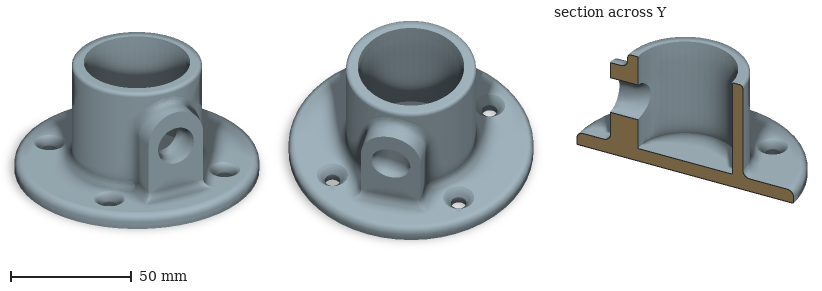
import cadquery as cq
import math

flange_diameter = 101.6
flange_thickness = 6.3
flange_edge_radius = 3.1

total_height = 50.8
socket_diameter = 54.1
bore_diameter = 44.1
rim_radius = 1.6
blend_radius = 3.1
socket_radius = socket_diameter / 2
blend_top = flange_thickness + blend_radius
blend_middle = blend_radius * (1 - math.sqrt(0.5))
surface_tolerance = 0.01

boss_reach = 35.1
boss_radius = 12.7
boss_axis_height = 31.7
cross_hole_diameter = 16.7
cross_hole_height = (flange_thickness + total_height) / 2

mount_spacing = 53.8
mount_hole_diameter = 6.4
countersink_diameter = 12.8
countersink_angle = 90.0


def make_flange():
    disc = cq.Workplane("XY").circle(flange_diameter / 2).extrude(flange_thickness)
    return disc.faces(">Z").edges().fillet(flange_edge_radius)


def make_boss():
    """Side boss standing on the plane Z = 0, running from the socket axis along +X."""
    return (
        cq.Workplane("YZ")
        .moveTo(-boss_radius, 0)
        .lineTo(-boss_radius, boss_axis_height)
        .threePointArc((0, boss_axis_height + boss_radius), (boss_radius, boss_axis_height))
        .lineTo(boss_radius, 0)
        .close()
        .extrude(boss_reach)
    )


def follows_tube(edge):
    """True for an edge whose middle lies on the outer surface of the tube."""
    middle = edge.positionAt(0.5)
    return abs(math.hypot(middle.x, middle.y) - socket_radius) < surface_tolerance


def make_socket():
    """Socket and boss blended together, still without the bore."""
    tube = cq.Workplane("XY").circle(socket_radius).extrude(total_height)
    body = tube.union(make_boss())
    joint_zone = cq.selectors.BoxSelector(
        (0, -socket_radius, flange_thickness),
        (flange_diameter, socket_radius, total_height - rim_radius),
    )
    joint = [edge for edge in body.edges(joint_zone).vals() if follows_tube(edge)]
    body = body.newObject(joint).fillet(blend_radius)
    return body.faces(">Z").edges().fillet(rim_radius)


def make_round_foot():
    """Concave ring blending the tube into the flange."""
    inner = socket_radius
    outer = inner + blend_radius
    return (
        cq.Workplane("XZ")
        .moveTo(0, 0)
        .lineTo(outer, 0)
        .lineTo(outer, flange_thickness)
        .threePointArc((inner + blend_middle, flange_thickness + blend_middle), (inner, blend_top))
        .lineTo(0, blend_top)
        .close()
        .revolve(360, (0, 0, 0), (0, 1, 0))
    )


def flared_prism(plane, half_width, length):
    """Prism whose sides flare out to the flange with a concave arc."""
    foot = half_width + blend_radius
    return (
        cq.Workplane(plane)
        .moveTo(-foot, 0)
        .lineTo(foot, 0)
        .lineTo(foot, flange_thickness)
        .threePointArc((half_width + blend_middle, flange_thickness + blend_middle), (half_width, blend_top))
        .lineTo(-half_width, blend_top)
        .threePointArc((-half_width - blend_middle, flange_thickness + blend_middle), (-foot, flange_thickness))
        .close()
        .extrude(length)
    )


def make_boss_foot():
    """Foot of the boss: side and end flares meet in mitred corners."""
    sides = flared_prism("YZ", boss_radius, boss_reach + blend_radius)
    end = flared_prism("XZ", boss_reach, flange_diameter / 2)
    return sides.intersect(end.union(end.mirror("XZ")))


def cut_bores(body):
    bore = (
        cq.Workplane("XY", origin=(0, 0, flange_thickness))
        .circle(bore_diameter / 2)
        .extrude(total_height)
    )
    cross_hole = (
        cq.Workplane("YZ", origin=(0, 0, cross_hole_height))
        .circle(cross_hole_diameter / 2)
        .extrude(flange_diameter / 2)
    )
    return body.cut(bore).cut(cross_hole)


def mounting_hole_cutter():
    """Four through holes with conical countersinks."""
    wide = countersink_diameter / 2
    narrow = mount_hole_diameter / 2
    depth = (wide - narrow) / math.tan(math.radians(countersink_angle / 2))
    hole = (
        cq.Workplane("XZ")
        .polyline(
            [
                (0, 0),
                (narrow, 0),
                (narrow, flange_thickness - depth),
                (wide, flange_thickness),
                (0, flange_thickness),
            ]
        )
        .close()
        .revolve(360, (0, 0, 0), (0, 1, 0))
        .val()
    )
    places = cq.Workplane("XY").rect(mount_spacing, mount_spacing, forConstruction=True).vertices()
    return places.eachpoint(hole.moved)


body = make_flange().union(make_socket()).union(make_round_foot()).union(make_boss_foot())
result = cut_bores(body).cut(mounting_hole_cutter())